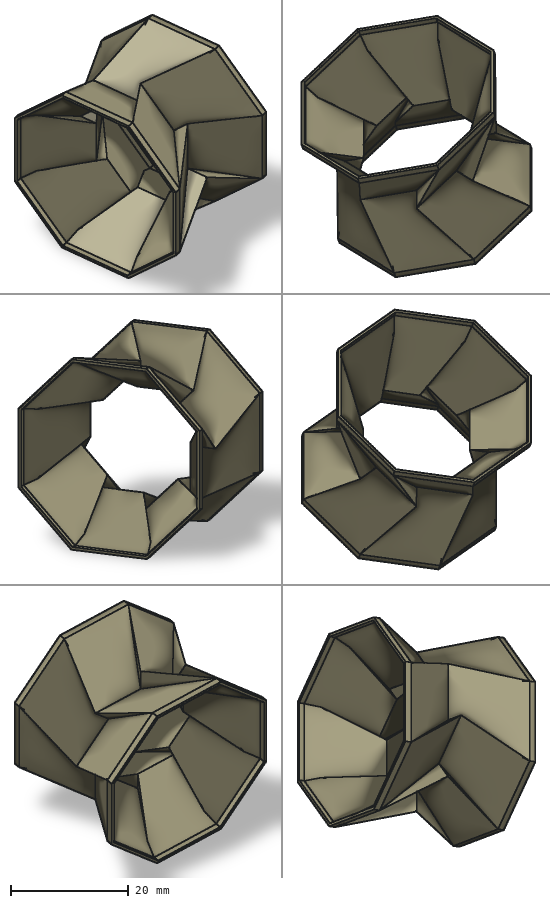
import cadquery as cq
import math

SIDES = 8
STEP_ANGLE = 360 / SIDES
ACROSS_FLATS = 33.8
LENGTH = 26.4
RIM_WIDTH = 1.18
WALL = 0.5

rim_side = ACROSS_FLATS * math.tan(math.pi / SIDES)
rim_radius = ACROSS_FLATS / 2 / math.cos(math.pi / SIDES)
waist_high_radius = rim_side
waist_low_radius = rim_side / math.sqrt(2)

WAIST_Y = 0.0
end_y = -LENGTH / 2
fold_y = end_y + RIM_WIDTH


def polar_point(radius, angle, y):
    """Point at a radius and angle (degrees) around the Y axis."""
    turn = math.radians(angle)
    return cq.Vector(radius * math.cos(turn), y, radius * math.sin(turn))


def around(point):
    """The eight copies of a point around the Y axis."""
    centre = cq.Vector(0, 0, 0)
    axis = cq.Vector(0, -1, 0)
    location = cq.Vertex.makeVertex(*point.toTuple())
    copies = []
    for k in range(SIDES):
        turned = location.rotate(centre, axis, k * STEP_ANGLE)
        copies.append(cq.Vector(*turned.toTuple()))
    return copies


def inset_plane(a, b, c):
    """Plane through three points moved inward by the wall: (unit normal, offset)."""
    normal = (b - a).cross(c - a).normalized()
    return normal, normal.dot(a) + WALL


def meeting_point(first, second, third):
    """Point shared by three planes."""
    (n1, d1), (n2, d2), (n3, d3) = first, second, third
    weighted = n2.cross(n3) * d1 + n3.cross(n1) * d2 + n1.cross(n2) * d3
    return weighted * (1 / n1.dot(n2.cross(n3)))


def solid_from(outlines):
    """Closed solid bounded by flat polygons."""
    faces = [cq.Face.makeFromWires(cq.Wire.makePolygon(points, close=True)) for points in outlines]
    return cq.Workplane(obj=cq.Solid.makeSolid(cq.Shell.makeShell(faces)))


def half_body(end, fold, corner, low, high):
    """Front half bounded by the given corner rings; each panel narrows to a gusset at its corner.

    The corner ring is where panels and gusset meet; it may equal the fold ring.
    """
    waist = []
    for k in range(SIDES):
        waist += [high[k], low[k]]
    outlines = [end, waist]
    for k in range(SIDES):
        n = (k + 1) % SIDES
        outlines.append([end[k], end[n], fold[n], fold[k]])
        if corner is fold:
            outlines.append([fold[k], fold[n], high[n], low[k]])
        else:
            outlines.append([fold[k], fold[n], corner[n], high[n], low[k], corner[k]])
        outlines.append([corner[k], low[k], high[k]])
    return solid_from(outlines)


outer_end = around(polar_point(rim_radius, -STEP_ANGLE / 2, end_y))
outer_fold = around(polar_point(rim_radius, -STEP_ANGLE / 2, fold_y))
outer_low = around(polar_point(waist_low_radius, 0, WAIST_Y))
outer_high = around(polar_point(waist_high_radius, 0, WAIST_Y))

end_plane = (cq.Vector(0, 1, 0), end_y)
waist_plane = (cq.Vector(0, 1, 0), WAIST_Y)
band = inset_plane(outer_end[0], outer_end[1], outer_fold[1])
band_before = inset_plane(outer_end[-1], outer_end[0], outer_fold[0])
panel = inset_plane(outer_fold[0], outer_fold[1], outer_high[1])
panel_before = inset_plane(outer_fold[-1], outer_fold[0], outer_high[0])
gusset = inset_plane(outer_fold[0], outer_low[0], outer_high[0])

inner_end = around(meeting_point(band_before, band, end_plane))
inner_fold = around(meeting_point(band_before, band, panel))
inner_corner = around(meeting_point(panel_before, panel, gusset))
inner_low = around(meeting_point(panel, gusset, waist_plane))
inner_high = around(meeting_point(panel_before, gusset, waist_plane))

outer_half = half_body(outer_end, outer_fold, outer_fold, outer_low, outer_high)
inner_half = half_body(inner_end, inner_fold, inner_corner, inner_low, inner_high)
front_half = outer_half.cut(inner_half)
result = front_half.union(front_half.mirror("XZ"))